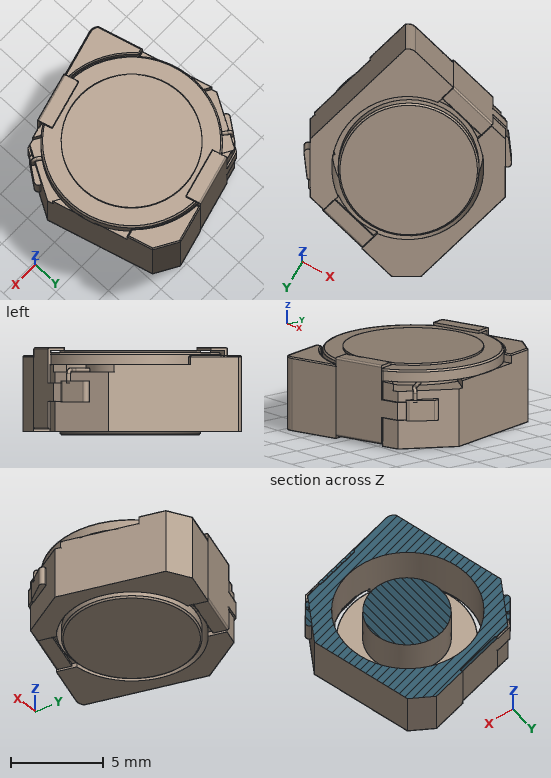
import cadquery as cq
import math


turn_angle = 15.0
drum_shift = 0.07

drum_bottom = 0.0
housing_bottom = 0.18
notch_floor = 3.39
ledge_top = 3.78
cap_top = 4.27
flange_top = 4.42
disc_top = 4.53
terminal_top = 4.7

outside = 11.8

half_width = 4.9
half_depth = 5.0
lead_corner_chamfer = 2.36
plain_corner_chamfer = 1.11
round_corner_p = 0.5
round_corner_q = 0.28
cap_edge_chamfer = 0.07
cap_bore_radius = 4.98
cavity_radius = 4.1
notch_width = 3.78
chamfered_cap_limit = 2.32
rounded_cap_limit = 2.02

flange_radius = 4.9
disc_radius = 3.8
post_radius = 2.4
drum_edge_chamfer = 0.1
flange_thickness = flange_top - ledge_top

clip_half_width = 1.5
clip_thickness = 0.15
clip_bend_radius = 0.1
tab_end = 4.1
foot_bottom = 0.31
arm_thickness = 0.11
arm_bottom = 1.8
arm_top = 2.8
clip_back = half_depth - clip_thickness
arm_back = half_depth - arm_thickness
foot_top = foot_bottom + clip_thickness

lead_frame_angle = 45.0
lead_face = (half_width + arm_back - lead_corner_chamfer) / math.sqrt(2)

solder_bottom = 1.77
solder_top = 2.9
solder_thick_end = -0.52
solder_thin_end = 1.24
solder_thick = 0.37
solder_thin = 0.17
solder_outer_round = 0.22
solder_inner_round = 0.11
solder_thin_round = 0.14

wire_radius = 0.11
wire_position = 0.75
wire_bend_radius = 0.2
wire_side_bend_radius = 0.83
wire_side_bend_angle = 24.0
wire_tail = 0.93
wire_height = notch_floor + wire_radius


def block(p_min, p_max, q_min, q_max, z_min, z_max):
    """Box given by its limits in the housing frame."""
    size = (p_max - p_min, q_max - q_min, z_max - z_min)
    return cq.Workplane("XY").box(*size, centered=False).translate((p_min, q_min, z_min))


def half_turn(body):
    """The same body on the opposite side of the housing axis."""
    return body.rotate((0, 0, 0), (0, 0, 1), 180)


def from_lead_frame(body):
    """Move a body from the lead corner frame into the housing frame."""
    return body.rotate((0, 0, 0), (0, 0, 1), lead_frame_angle)


def placed(body):
    """Move a body from the housing frame to its final place, with the drum on the Z axis."""
    return body.translate((-drum_shift, 0, 0)).rotate((0, 0, 0), (0, 0, 1), turn_angle)


def cylinder(radius, z_min, z_max):
    return cq.Workplane("XY").workplane(offset=z_min).circle(radius).extrude(z_max - z_min)


def housing_prism(z_min, z_max):
    """Housing outline: one rounded, one small and two large chamfered corners, terminal seats."""
    lead_p = half_width - lead_corner_chamfer
    lead_q = arm_back - lead_corner_chamfer
    straight_sides = [
        (-half_width, lead_q),
        (-lead_p, arm_back),
        (-clip_half_width, arm_back),
        (-clip_half_width, clip_back),
        (clip_half_width, clip_back),
        (clip_half_width, half_depth),
        (half_width - plain_corner_chamfer, half_depth),
        (half_width, half_depth - plain_corner_chamfer),
        (half_width, -lead_q),
        (lead_p, -arm_back),
        (clip_half_width, -arm_back),
        (clip_half_width, -clip_back),
        (-clip_half_width, -clip_back),
    ]
    outline = (
        cq.Workplane("XY")
        .workplane(offset=z_min)
        .moveTo(-clip_half_width, -half_depth)
        .lineTo(round_corner_p - half_width, -half_depth)
        .tangentArcPoint((-half_width, round_corner_q - half_depth), relative=False)
        .polyline(straight_sides, includeCurrent=True)
        .close()
    )
    return outline.extrude(z_max - z_min)


def corner_caps():
    """Two raised corners that locate the drum flange, with chamfered top edges."""
    prism = housing_prism(ledge_top, cap_top).cut(cylinder(cap_bore_radius, ledge_top, cap_top))
    zones = [
        block(clip_half_width, outside, chamfered_cap_limit, outside, ledge_top, cap_top),
        block(-outside, -clip_half_width, -outside, -rounded_cap_limit, ledge_top, cap_top),
    ]
    return [prism.intersect(zone).faces(">Z").chamfer(cap_edge_chamfer) for zone in zones]


def make_housing(wires):
    body = housing_prism(housing_bottom, ledge_top)
    for cap in corner_caps():
        body = body.union(cap)
    body = body.cut(cylinder(cavity_radius, housing_bottom, ledge_top))

    notch = from_lead_frame(block(-notch_width / 2, notch_width / 2, 0, outside, notch_floor, ledge_top))
    channel = block(-clip_half_width, clip_half_width, 0, outside, housing_bottom, foot_top)
    for recess in (notch, channel):
        body = body.cut(recess).cut(half_turn(recess))

    for wire in wires:
        body = body.cut(wire)
    return body


def make_drum():
    """Two flanges joined by a post, with flats on the upper flange for the terminals."""
    lower = cylinder(disc_radius, drum_bottom, drum_bottom + flange_thickness)
    lower = lower.faces("<Z").chamfer(drum_edge_chamfer)
    upper = cylinder(flange_radius, ledge_top, flange_top).faces(">Z").chamfer(drum_edge_chamfer)
    post = cylinder(post_radius, drum_bottom, flange_top)
    disc = cylinder(disc_radius, flange_top, disc_top)
    flats = block(-outside, outside, -clip_back, clip_back, ledge_top, flange_top)
    drum = lower.union(post).union(upper.intersect(flats)).union(disc)
    return drum.translate((drum_shift, 0, 0))


def make_terminal():
    """C-shaped clip around the +Q side, with an arm that wraps onto the lead corner face."""
    clip = block(-clip_half_width, clip_half_width, tab_end, half_depth, foot_bottom, terminal_top)
    clip = clip.faces(">Y").edges("|X").fillet(clip_bend_radius)
    clip = clip.cut(
        block(-clip_half_width, clip_half_width, tab_end, clip_back, foot_top, terminal_top - clip_thickness)
    )

    arm_face = lead_face + arm_thickness
    bend_inner = (lead_corner_chamfer - half_width, arm_back)
    bend_outer = (half_depth - arm_face * math.sqrt(2), half_depth)

    def lead_point(s, n):
        return ((s - n) / math.sqrt(2), (s + n) / math.sqrt(2))

    arm_outline = [
        (-clip_half_width, arm_back),
        bend_inner,
        lead_point(solder_thin_end, lead_face),
        lead_point(solder_thin_end, arm_face),
        bend_outer,
        (-clip_half_width, half_depth),
    ]
    arm = cq.Workplane("XY").workplane(offset=arm_bottom).polyline(arm_outline).close()
    return clip.union(arm.extrude(arm_top - arm_bottom))


def make_wire():
    """Wire from the solder joint up over the notch edge, then sideways into the housing."""
    axis_n = lead_face + wire_radius
    bend_n = axis_n - wire_bend_radius
    bend_z = wire_height - wire_bend_radius
    diagonal = wire_bend_radius / math.sqrt(2)
    side = math.radians(wire_side_bend_angle)

    def side_bend_point(angle):
        s = wire_position - wire_side_bend_radius * (1 - math.cos(angle))
        return cq.Vector(s, bend_n - wire_side_bend_radius * math.sin(angle), wire_height)

    foot = cq.Vector(wire_position, axis_n, arm_top)
    rise_end = cq.Vector(wire_position, axis_n, bend_z)
    rise_middle = cq.Vector(wire_position, bend_n + diagonal, bend_z + diagonal)
    run_start = side_bend_point(0)
    run_end = side_bend_point(side)
    tail_end = run_end + cq.Vector(-math.sin(side), -math.cos(side), 0) * wire_tail
    path = cq.Wire.assembleEdges([
        cq.Edge.makeLine(foot, rise_end),
        cq.Edge.makeThreePointArc(rise_end, rise_middle, run_start),
        cq.Edge.makeThreePointArc(run_start, side_bend_point(side / 2), run_end),
        cq.Edge.makeLine(run_end, tail_end),
    ])
    profile = cq.Workplane("XY", origin=foot.toTuple()).circle(wire_radius)
    return from_lead_frame(profile.sweep(path))


def make_solder(wire):
    """Tapered solder joint on the lead corner face, with rounded ends and a socket for the wire."""
    outline = [
        (solder_thick_end, lead_face),
        (solder_thin_end, lead_face),
        (solder_thin_end, lead_face + solder_thin),
        (solder_thick_end, lead_face + solder_thick),
    ]
    joint = cq.Workplane("XY").workplane(offset=solder_bottom).polyline(outline).close()
    joint = joint.extrude(solder_top - solder_bottom)
    rounds = [
        (outline[0], solder_inner_round),
        (outline[2], solder_thin_round),
        (outline[3], solder_outer_round),
    ]
    for corner, radius in rounds:
        edge = cq.selectors.NearestToPointSelector((*corner, (solder_bottom + solder_top) / 2))
        joint = joint.edges("|Z").edges(edge).fillet(radius)
    return from_lead_frame(joint).cut(wire)


first_wire = make_wire()
wires = [first_wire, half_turn(first_wire)]
first_solder = make_solder(first_wire)
solders = [first_solder, half_turn(first_solder)]
first_terminal = make_terminal()
terminals = [first_terminal, half_turn(first_terminal)]
housing = make_housing(wires)
drum = make_drum()

bodies = [housing, drum, *terminals, *wires, *solders]
result = cq.Compound.makeCompound([placed(body).solids().val() for body in bodies])